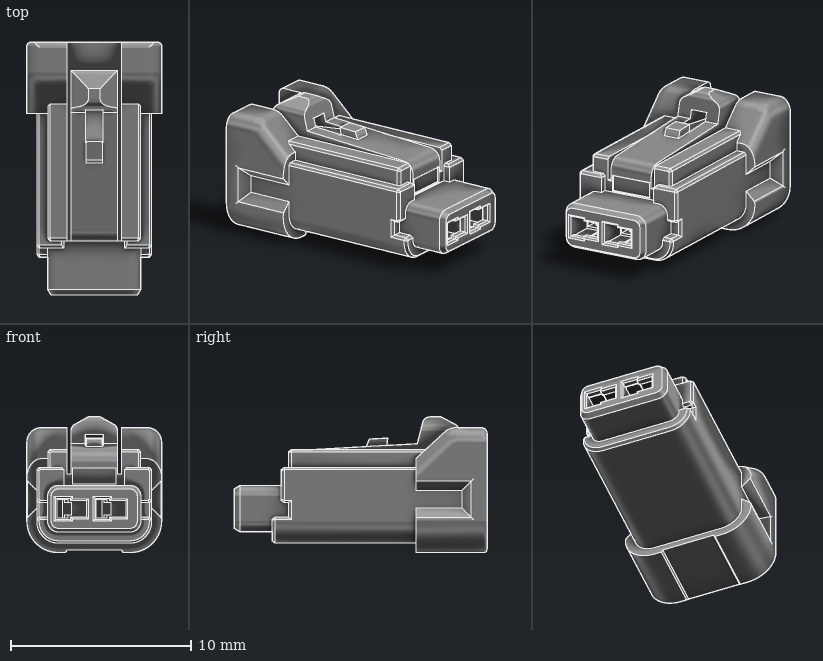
import cadquery as cq
import math


OVERCUT = 1.0

total_length = 14.05
total_height = 7.55

collar_half_width = 3.75
collar_front = 10.08
collar_top = 6.95
collar_slope_start = 11.95
collar_slope_bottom = 5.22
collar_bend_radius = 1.0
collar_top_radius = 0.82
collar_bottom_radius = 1.75
collar_rear_radius = 0.22
collar_rear_top_radius = 0.34
notch_half_width = 1.60
notch_depth = 0.14
notch_flank = 0.08

window_rear = 13.29
window_bottom = 1.83
window_top = 4.10
window_lip_depth = 0.04
window_lip_inset = 0.13
window_floor_inset = 0.64

body_half_width = 3.19
body_bottom = 0.53
body_top = 4.74
body_front = 3.0
body_bottom_radius = 1.2
body_rear = 12.08
edge_setback = 0.17
edge_inset = 0.13
ear_front = 2.61
ear_inner = 1.69
ear_bottom = 2.78
lip_front = 2.10
lip_top = 1.98

rail_half_width = 2.58
rail_top = 5.73
rail_root = 4.0
rail_rear = 11.3
latch_slot_half_width = 1.51
latch_slot_floor = 4.38

nose_half_width = 2.59
nose_bottom = 1.15
nose_top = 3.74
nose_radius = 0.6
nose_setback = 0.31
nose_inset = 0.2
nose_rear = 3.5

arm_half_width = 1.3
arm_slope = 0.056
arm_front_height = 5.655
arm_front_radius = 0.66
arm_thickness = 0.8
arm_root_length = 0.9
arm_rear = 12.49

hook_front = 10.16
hook_face_lean = 0.254
hook_front_radius = 0.45
hook_shoulder_bottom = 6.74
hook_shoulder_top = 7.16
hook_shoulder_inset = 0.27
hook_shoulder_bulge = 0.075
hook_crest_half_width = 0.33
hook_crest_rear = 11.47

groove_half_width = 0.49
groove_roof = 6.55
groove_front_depth = 0.03
groove_rear_floor = 5.47

bump_half_width = 0.455
bump_rear = 8.48
bump_front = 7.33
bump_rear_lean = 0.05
bump_front_lean = 0.17
bump_height = 0.41

label_half_width = 1.2
label_bottom = 3.81
label_top = 4.71
label_depth = 0.1

cavity_count = 2
cavity_pitch = 2.177
cavity_left = -2.24
cavity_wide_length = 1.02
cavity_length = 1.92
cavity_mid_height = 2.435
cavity_wide_half_height = 0.685
cavity_narrow_half_height = 0.56
cavity_lead_in = 0.1
cavity_mouth_depth = 1.8
cavity_ledge_depth = 0.41
cavity_left_chamber_half_height = 0.64
cavity_right_chamber_half_height = 0.72
cavity_chamber_side_relief = 0.05
inner_left = 0.17
inner_ramp_end = 0.49
inner_step = 0.60
inner_corner_right = 0.77
inner_right = 0.98
inner_half_height = 0.51
inner_narrow_half_height = 0.34
inner_flat_depth = 2.2
inner_corner_depth = 2.4
inner_ramp_depth = 2.55


def block(x_range, y_range, z_range):
    """Axis-aligned box between the given limits."""
    size = [high - low for low, high in (x_range, y_range, z_range)]
    corner = (x_range[0], y_range[0], z_range[0])
    return cq.Workplane("XY").box(*size, centered=False).translate(corner)


def cross_section(y):
    """Workplane across the part at the given y, with local axes X and Z."""
    return cq.Workplane("XZ", origin=(0, y, 0))


def side_prism(points, half_width):
    """Outline of (y, z) points extruded to both sides of x = 0."""
    return cq.Workplane("YZ").polyline(points).close().extrude(half_width, both=True)


def front_tapered(draw, front, rear, setback, inset):
    """Prism of the outline from draw(), chamfered all round its front face."""
    shoulder = front + setback
    taper = math.degrees(math.atan2(inset, setback))
    straight = draw(cross_section(shoulder)).extrude(shoulder - rear)
    tip = draw(cross_section(shoulder)).extrude(setback, taper=taper)
    return straight.union(tip)


def mirrored(solid):
    """The solid together with its mirror image across x = 0."""
    return solid.union(solid.mirror("YZ"))


def make_collar():
    outline = [
        (collar_front, 0),
        (total_length, 0),
        (total_length, collar_top),
        (collar_slope_start, collar_top),
        (collar_front, collar_slope_bottom),
    ]
    blank = side_prism(outline, collar_half_width)
    bend = cq.selectors.NearestToPointSelector((0, collar_slope_start, collar_top))
    collar = blank.edges("|X").edges(bend).fillet(collar_bend_radius)
    collar = collar.faces("<Z").edges("|Y").fillet(collar_bottom_radius)
    collar = collar.faces(">Z").edges("|Y").fillet(collar_top_radius)
    collar = collar.faces(">Y").edges().fillet(collar_rear_radius)
    rear_top = cq.selectors.NearestToPointSelector((0, total_length, collar_top))
    collar = collar.intersect(blank.edges("|X").edges(rear_top).fillet(collar_rear_top_radius))
    notch = (
        cross_section(total_length)
        .polyline(
            [
                (-notch_half_width, 0),
                (notch_half_width, 0),
                (notch_half_width - notch_flank, notch_depth),
                (notch_flank - notch_half_width, notch_depth),
            ]
        )
        .close()
        .extrude(total_length - collar_front)
    )
    return collar.cut(notch).cut(mirrored(make_window()))


def window_section(x, inset):
    """Window rectangle at the given x, inset at its rear, top and bottom."""
    front = collar_front - OVERCUT
    rear = window_rear - inset
    bottom = window_bottom + inset
    top = window_top - inset
    return cq.Workplane("YZ", origin=(x, 0, 0)).polyline(
        [(front, bottom), (rear, bottom), (rear, top), (front, top)]
    ).close().wires().val()


def make_window():
    lip_x = collar_half_width - window_lip_depth
    sections = [
        window_section(collar_half_width, 0),
        window_section(lip_x, window_lip_inset),
        window_section(body_half_width, window_floor_inset),
    ]
    lip = cq.Solid.makeLoft(sections[:2], True)
    funnel = cq.Solid.makeLoft(sections[1:], True)
    return cq.Workplane(lip).union(cq.Workplane(funnel))


def shell_outline(wp, top):
    """Body section up to the given top, round below and chamfered above."""
    half = body_half_width
    arc_inset = body_bottom_radius * (1 - math.sqrt(0.5))
    arc_side = half - arc_inset
    arc_level = body_bottom + arc_inset
    flat = half - body_bottom_radius
    arc_top = body_bottom + body_bottom_radius
    return (
        wp.moveTo(-flat, body_bottom)
        .lineTo(flat, body_bottom)
        .threePointArc((arc_side, arc_level), (half, arc_top))
        .lineTo(half, top - edge_inset)
        .lineTo(half - edge_inset, top)
        .lineTo(edge_inset - half, top)
        .lineTo(-half, top - edge_inset)
        .lineTo(-half, arc_top)
        .threePointArc((-arc_side, arc_level), (-flat, body_bottom))
        .close()
    )


def body_outline(wp):
    return shell_outline(wp, body_top)


def lip_outline(wp):
    return shell_outline(wp, lip_top)


def ear_outline(wp):
    """Section of the ear at +x, carried on inward past its inner face."""
    half = body_half_width
    inner = ear_inner - OVERCUT
    return wp.polyline(
        [
            (inner, ear_bottom),
            (half - edge_inset, ear_bottom),
            (half, ear_bottom + edge_inset),
            (half, body_top - edge_inset),
            (half - edge_inset, body_top),
            (inner, body_top),
        ]
    ).close()


def make_ear():
    """Ear at +x with a plain inner face and a chamfer along its inner top edge."""
    rear = body_front + edge_setback
    ear = front_tapered(ear_outline, ear_front, rear, edge_setback, edge_inset)
    inner_trim = (
        cross_section(rear)
        .polyline(
            [
                (ear_inner - 2 * OVERCUT, ear_bottom),
                (ear_inner, ear_bottom),
                (ear_inner, body_top - edge_inset),
                (ear_inner + edge_inset, body_top),
                (ear_inner - 2 * OVERCUT, body_top),
            ]
        )
        .close()
        .extrude(rear - ear_front)
    )
    return ear.cut(inner_trim)


def rail_outline(wp):
    half = rail_half_width
    return wp.polyline(
        [
            (-half, rail_root),
            (half, rail_root),
            (half, rail_top - edge_inset),
            (half - edge_inset, rail_top),
            (edge_inset - half, rail_top),
            (-half, rail_top - edge_inset),
        ]
    ).close()


def make_body():
    core = front_tapered(body_outline, body_front, body_rear, edge_setback, edge_inset)
    lip = front_tapered(lip_outline, lip_front, body_rear, edge_setback, edge_inset)
    rails = front_tapered(rail_outline, body_front, rail_rear, edge_setback, edge_inset)
    return core.union(lip).union(mirrored(make_ear())).union(rails)


def make_nose():
    width = 2 * nose_half_width
    height = nose_top - nose_bottom
    middle = (nose_top + nose_bottom) / 2

    def outline(wp):
        sketch = cq.Sketch().rect(width, height).vertices().fillet(nose_radius)
        return wp.center(0, middle).placeSketch(sketch)

    return front_tapered(outline, 0, nose_rear, nose_setback, nose_inset)


def arm_height(y):
    """Height of the sloping top of the latch arm."""
    return arm_front_height + arm_slope * (y - body_front)


def make_arm():
    root_rear = body_front + arm_root_length
    outline = [
        (body_front, latch_slot_floor),
        (body_front, arm_height(body_front)),
        (hook_front, arm_height(hook_front)),
        (arm_rear, arm_height(hook_front)),
        (arm_rear, arm_height(hook_front) - arm_thickness),
        (root_rear, arm_height(root_rear) - arm_thickness),
        (root_rear, latch_slot_floor),
    ]
    arm = side_prism(outline, arm_half_width)
    front_top = cq.selectors.NearestToPointSelector((0, body_front, arm_height(body_front)))
    return arm.edges("|X").edges(front_top).fillet(arm_front_radius)


def make_hook():
    base = arm_height(hook_front)
    rise = hook_shoulder_top - hook_shoulder_bottom
    chord = math.hypot(rise, hook_shoulder_inset)
    bulge_inset = hook_shoulder_inset / 2 - hook_shoulder_bulge * rise / chord
    middle = (hook_shoulder_bottom + hook_shoulder_top) / 2
    bulge_level = middle + hook_shoulder_bulge * hook_shoulder_inset / chord
    side = arm_half_width
    shoulder_side = side - hook_shoulder_inset
    shoulder_rear = arm_rear - hook_shoulder_inset
    across = (
        cross_section(arm_rear)
        .moveTo(-side, base)
        .lineTo(side, base)
        .lineTo(side, hook_shoulder_bottom)
        .threePointArc((side - bulge_inset, bulge_level), (shoulder_side, hook_shoulder_top))
        .lineTo(hook_crest_half_width, total_height)
        .lineTo(-hook_crest_half_width, total_height)
        .lineTo(-shoulder_side, hook_shoulder_top)
        .threePointArc((bulge_inset - side, bulge_level), (-side, hook_shoulder_bottom))
        .close()
        .extrude(arm_rear - hook_front)
    )
    crest_front = hook_front + hook_face_lean * (total_height - base)
    along = (
        cq.Workplane("YZ")
        .moveTo(hook_front, base)
        .lineTo(arm_rear, base)
        .lineTo(arm_rear, hook_shoulder_bottom)
        .threePointArc((arm_rear - bulge_inset, bulge_level), (shoulder_rear, hook_shoulder_top))
        .lineTo(hook_crest_rear, total_height)
        .lineTo(crest_front, total_height)
        .close()
        .extrude(arm_half_width, both=True)
    )
    crest = cq.selectors.NearestToPointSelector((0, crest_front, total_height))
    along = along.edges("|X").edges(crest).fillet(hook_front_radius)
    return across.intersect(along)


def make_groove():
    outline = [
        (bump_rear, groove_roof),
        (bump_rear, arm_height(bump_rear) - groove_front_depth),
        (arm_rear, groove_rear_floor),
        (arm_rear, groove_roof),
    ]
    return side_prism(outline, groove_half_width)


def make_bump():
    base_rear = arm_height(bump_rear)
    base_front = arm_height(bump_front)
    outline = [
        (bump_rear, base_rear - bump_height),
        (bump_rear, base_rear),
        (bump_rear + bump_rear_lean, base_rear + bump_height),
        (bump_front + bump_front_lean, arm_height(bump_front + bump_front_lean) + bump_height),
        (bump_front, base_front),
        (bump_front, base_front - bump_height),
    ]
    return side_prism(outline, bump_half_width)


def make_latch():
    return make_arm().union(make_hook()).cut(make_groove()).union(make_bump())


def cavity_outline(wp, inset):
    """T-shaped cavity mouth, wide at the left, inset evenly from its full size."""
    left = inset
    step = cavity_wide_length - inset
    right = cavity_length - inset
    wide = cavity_wide_half_height - inset
    narrow = cavity_narrow_half_height - inset
    return wp.polyline(
        [
            (left, -wide),
            (step, -wide),
            (step, -narrow),
            (right, -narrow),
            (right, narrow),
            (step, narrow),
            (step, wide),
            (left, wide),
        ]
    ).close()


def make_cavity():
    """Cavity tool with its left wall at x = 0 and mid-height at z = 0."""
    lead_in = cq.Workplane(
        cq.Solid.makeLoft(
            [
                cavity_outline(cross_section(0), 0).wires().val(),
                cavity_outline(cross_section(cavity_lead_in), cavity_lead_in).wires().val(),
            ],
            True,
        )
    )
    mouth = cavity_outline(cross_section(0), cavity_lead_in).extrude(-cavity_mouth_depth)
    chamber_depth = (cavity_ledge_depth, cavity_mouth_depth)
    left_high = cavity_left_chamber_half_height
    right_high = cavity_right_chamber_half_height
    step = cavity_wide_length - cavity_lead_in
    right = cavity_length - cavity_lead_in + cavity_chamber_side_relief
    left_chamber = block((cavity_lead_in, step), chamber_depth, (-left_high, left_high))
    right_chamber = block((step, right), chamber_depth, (-right_high, right_high))
    inner = inner_half_height
    narrow = inner_narrow_half_height
    pocket = block((inner_left, inner_right), (0, inner_flat_depth), (-narrow, narrow))
    left_pocket = block((inner_left, inner_step), (0, inner_flat_depth), (-inner, inner))
    corners = block((inner_step, inner_corner_right), (0, inner_corner_depth), (-inner, inner)).cut(
        block((inner_step, inner_corner_right), (0, inner_corner_depth), (-narrow, narrow))
    )
    ramp = (
        cq.Workplane("XY", origin=(0, 0, -inner))
        .polyline(
            [
                (inner_left, inner_flat_depth),
                (inner_ramp_end, inner_flat_depth),
                (inner_left, inner_ramp_depth),
            ]
        )
        .close()
        .extrude(2 * inner)
    )
    cavity = lead_in
    for piece in (mouth, left_chamber, right_chamber, pocket, left_pocket, corners, ramp):
        cavity = cavity.union(piece)
    return cavity


def make_housing():
    housing = make_collar().union(make_body())
    slot_half = latch_slot_half_width
    slot = block(
        (-slot_half, slot_half),
        (body_front - OVERCUT, total_length + OVERCUT),
        (latch_slot_floor, total_height),
    )
    housing = housing.cut(slot).union(make_nose()).union(make_latch())
    label = block(
        (-label_half_width, label_half_width),
        (body_front, body_front + label_depth),
        (label_bottom, label_top),
    )
    housing = housing.cut(label)
    cavity = make_cavity()
    for index in range(cavity_count):
        left = cavity_left + index * cavity_pitch
        housing = housing.cut(cavity.translate((left, 0, cavity_mid_height)))
    return housing


result = make_housing()